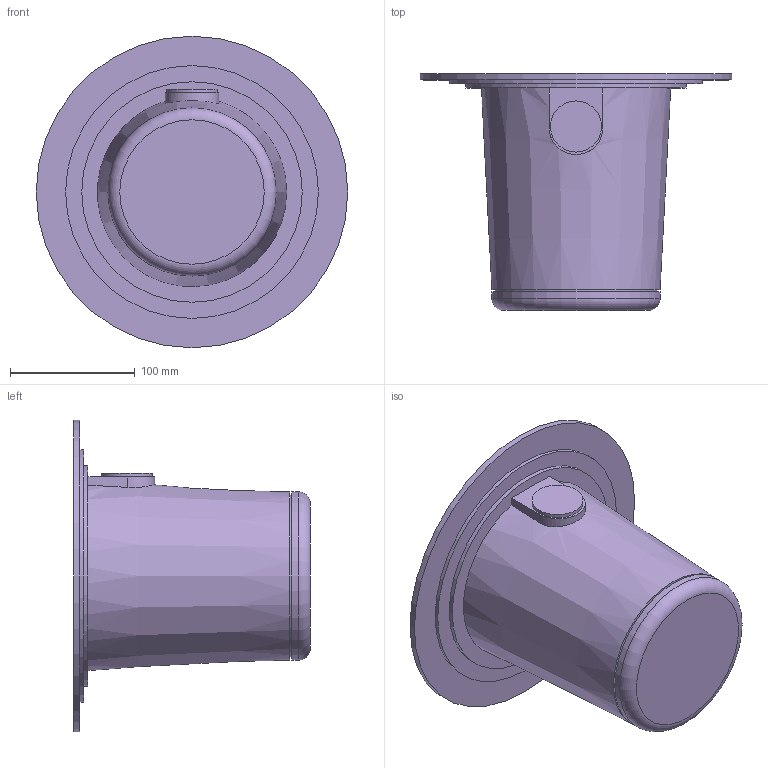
import cadquery as cq

flange_radius = 125.0
flange_depth = 5.0
outer_step_radius = 101.5
outer_step_depth = 8.0
inner_step_radius = 88.5
inner_step_depth = 11.5

cup_base_radius = 76.0
cup_end_radius = 67.5
cone_end_depth = 173.5
groove_width = 1.5
groove_floor_radius = 65.0
total_depth = 190.0
end_fillet_radius = 9.5

pad_width = 43.0
pad_center_depth = 43.5
pad_top_height = 79.5
button_radius = 20.5
button_center_depth = 42.5
button_top_height = 82.5


def make_body():
    """Stepped flange and tapered cup, revolved as one (radius, Y) profile about Y."""
    groove_end_depth = cone_end_depth + groove_width
    profile = (
        cq.Workplane("XY")
        .moveTo(0, 0)
        .lineTo(flange_radius, 0)
        .lineTo(flange_radius, -flange_depth)
        .lineTo(outer_step_radius, -flange_depth)
        .lineTo(outer_step_radius, -outer_step_depth)
        .lineTo(inner_step_radius, -outer_step_depth)
        .lineTo(inner_step_radius, -inner_step_depth)
        .lineTo(cup_base_radius, -inner_step_depth)
        .lineTo(cup_end_radius, -cone_end_depth)
        .lineTo(groove_floor_radius, -cone_end_depth)
        .lineTo(groove_floor_radius, -groove_end_depth)
        .lineTo(cup_end_radius, -groove_end_depth)
        .lineTo(cup_end_radius, -(total_depth - end_fillet_radius))
        .radiusArc((cup_end_radius - end_fillet_radius, -total_depth), end_fillet_radius)
        .lineTo(0, -total_depth)
        .close()
    )
    return profile.revolve(360, (0, 0, 0), (0, 1, 0))


def make_pad():
    """Flat-topped pad from the flange to a rounded end, rising from the cup axis."""
    straight = (
        cq.Workplane("XY")
        .center(0, -(outer_step_depth + pad_center_depth) / 2)
        .rect(pad_width, pad_center_depth - outer_step_depth)
        .extrude(pad_top_height)
    )
    rounded_end = (
        cq.Workplane("XY")
        .center(0, -pad_center_depth)
        .circle(pad_width / 2)
        .extrude(pad_top_height)
    )
    return straight.union(rounded_end)


def make_button():
    """Round button standing on the pad."""
    return (
        cq.Workplane("XY")
        .center(0, -button_center_depth)
        .circle(button_radius)
        .extrude(button_top_height)
    )


result = make_body().union(make_pad()).union(make_button())